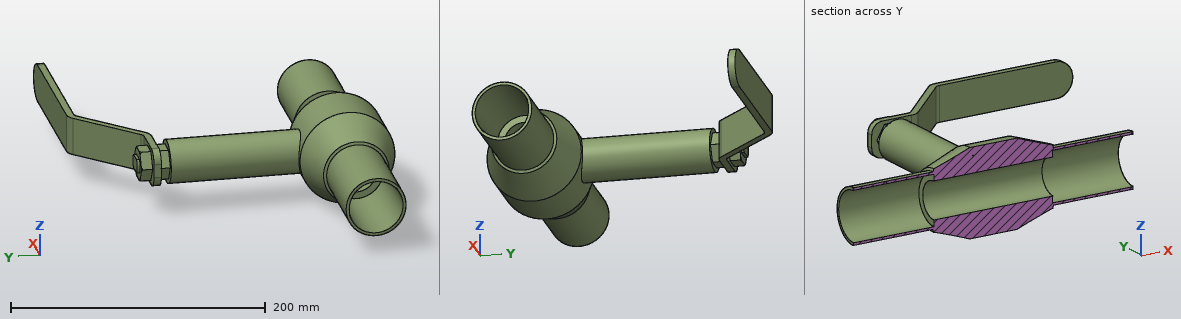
import cadquery as cq
import math

pipe_length = 260.0
pipe_radius = 48.2 / 2
pipe_bore_radius = 43.2 / 2
ball_bore_radius = 32.0 / 2
housing_radius = 76.2 / 2
housing_half_barrel = 21.8
housing_end_x = 55.5
housing_end_radius = 26.5

stem_radius = 35.0 / 2
stem_end_y = 140.5
spindle_radius = 16.2 / 2
spindle_flat_width = 11.5
spindle_end_y = 166.0
hex_across_flats = 24.5
hex_across_corners = hex_across_flats / math.cos(math.pi / 6)
nut_end_y = 163.7
nut_chamfer = 1.0

lever_thickness = 6.0
lever_width = 30.7
lever_start_x = -18.8
lever_end_x = 330 - pipe_length / 2
lever_low_y = 148.8
lever_top_y = 243.2 - housing_radius
lever_bend_x = 23.0
lever_bend_angle = 45
bend_inner_radius = 6.0
lever_corner_radius = 10.0


def make_housing():
    """Solid barrel with conical shoulders whose end faces are square to the cones."""
    half_pipe = pipe_length / 2
    cone_slope = (housing_radius - housing_end_radius) / (housing_end_x - housing_half_barrel)
    lip_x = housing_end_x + (housing_end_radius - pipe_radius) * cone_slope
    profile = [(-half_pipe, 0), (-half_pipe, pipe_radius), (-lip_x, pipe_radius)]
    profile += [(-housing_end_x, housing_end_radius), (-housing_half_barrel, housing_radius)]
    profile += [(housing_half_barrel, housing_radius), (housing_end_x, housing_end_radius)]
    profile += [(lip_x, pipe_radius), (half_pipe, pipe_radius), (half_pipe, 0)]
    return cq.Workplane("XY").polyline(profile).close().revolve(360, (0, 0, 0), (1, 0, 0))


def along_y(start_y):
    """Workplane facing +Y with local x along X."""
    return cq.Workplane("XZ", origin=(0, start_y, 0)).transformed(rotate=(180, 0, 0))


def make_hex(start_y, end_y):
    return along_y(start_y).polygon(6, hex_across_corners).extrude(end_y - start_y)


def make_nut():
    """Upper hexagon with its corners turned down on the outer end."""
    start_y = lever_low_y + lever_thickness
    height = nut_end_y - start_y
    turned = along_y(start_y).circle(hex_across_corners / 2).extrude(height)
    turned = turned.faces(">Y").chamfer(nut_chamfer)
    return make_hex(start_y, nut_end_y).intersect(turned)


def make_spindle():
    """Round spindle with two flats facing +Z and -Z."""
    length = spindle_end_y - stem_end_y
    rod = along_y(stem_end_y).circle(spindle_radius).extrude(length)
    flats = along_y(stem_end_y).rect(2 * spindle_radius, spindle_flat_width).extrude(length)
    return rod.intersect(flats)


def make_lever():
    """Strip with two opposite bends, trimmed to a rounded outline in X and Z."""
    rise = lever_top_y - lever_thickness - lever_low_y
    run = rise / math.tan(math.radians(lever_bend_angle))
    corner_shift = lever_thickness * math.tan(math.radians(lever_bend_angle / 2))
    far_bend_x = lever_bend_x + run
    lower_side = [
        (lever_start_x, lever_low_y),
        (lever_bend_x, lever_low_y),
        (far_bend_x, lever_low_y + rise),
        (lever_end_x, lever_low_y + rise),
    ]
    upper_side = [
        (lever_end_x, lever_top_y),
        (far_bend_x - corner_shift, lever_top_y),
        (lever_bend_x - corner_shift, lever_low_y + lever_thickness),
        (lever_start_x, lever_low_y + lever_thickness),
    ]
    strip = cq.Workplane("XY").polyline(lower_side + upper_side).close()
    strip = strip.extrude(lever_width / 2, both=True)

    bend_outer_radius = bend_inner_radius + lever_thickness
    bends = [
        (lower_side[1], bend_outer_radius),
        (lower_side[2], bend_inner_radius),
        (upper_side[1], bend_outer_radius),
        (upper_side[2], bend_inner_radius),
    ]
    for (x, y), radius in bends:
        edge = cq.selectors.NearestToPointSelector((x, y, 0))
        strip = strip.edges("|Z").edges(edge).fillet(radius)

    half_width = lever_width / 2
    outline = (
        along_y(0)
        .moveTo(lever_start_x, -half_width)
        .lineTo(lever_end_x - half_width, -half_width)
        .threePointArc((lever_end_x, 0), (lever_end_x - half_width, half_width))
        .lineTo(lever_start_x, half_width)
        .close()
        .extrude(lever_top_y)
        .edges("|Y and <X")
        .fillet(lever_corner_radius)
    )
    return strip.intersect(outline)


def make_bores():
    """Ball bore right through, opened out to the pipe bore inside each pipe."""
    bore = cq.Workplane("YZ").circle(ball_bore_radius).extrude(pipe_length / 2, both=True)
    for side in (-1, 1):
        pipe_bore = cq.Workplane("YZ", origin=(side * housing_end_x, 0, 0)).circle(pipe_bore_radius)
        bore = bore.union(pipe_bore.extrude(side * (pipe_length / 2 - housing_end_x)))
    return bore


stem = along_y(0).circle(stem_radius).extrude(stem_end_y)
body = make_housing().union(stem).cut(make_bores())
lower_hex = make_hex(stem_end_y, lever_low_y)
result = body.union(lower_hex).union(make_lever()).union(make_nut()).union(make_spindle())